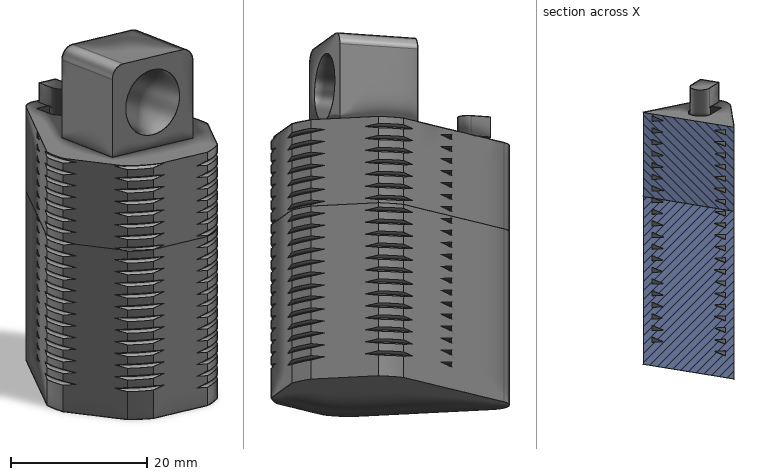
import cadquery as cq
import math

base_height = 26.0
cap_height = 13.0
body_top = base_height + cap_height
total_height = 53.0
lug_height = total_height - body_top

overall_width = 27.2
corner_radius = overall_width / 2
tail_reach = 22.2
hex_apothem = 12.6
side_angle = 60
tail_radius = 2 * hex_apothem - tail_reach
tail_center_x = tail_radius - tail_reach

lug_length = 12.0
lug_width = 15.0
lug_fillet = 2.0
lug_hole_diameter = 10.0
lug_hole_drop = 7.0

pin_diameter = 3.0
pin_radius = pin_diameter / 2
pin_x = -16.0
pin_rise = 4.0
bit_height = 3.0
bit_length = 3.0
slot_clearance = 0.25

groove_turns = 20
groove_start = 3.0
groove_pitch = (body_top - groove_start) / groove_turns
groove_root_radius = 13.0
groove_outer_radius = 13.7
groove_mouth = 0.75


def polar(radius, degrees):
    """Point at the given radius and angle around the Z axis."""
    angle = math.radians(degrees)
    return (radius * math.cos(angle), radius * math.sin(angle))


def tail_point(degrees):
    """Point on the rounded end of the tail."""
    x, y = polar(tail_radius, degrees)
    return (tail_center_x + x, y)


def outline(bottom, height):
    """Prism of the common outline, from the given height upward."""
    flat_half_angle = math.degrees(math.acos(hex_apothem / corner_radius))
    arc_half_angle = side_angle / 2 - flat_half_angle
    profile = cq.Workplane("XY", origin=(0, 0, bottom)).moveTo(*tail_point(-2 * side_angle))
    for corner in (-90, -30, 30, 90):
        arc_start = polar(corner_radius, corner - arc_half_angle)
        arc_middle = polar(corner_radius, corner)
        arc_end = polar(corner_radius, corner + arc_half_angle)
        profile = profile.lineTo(*arc_start).threePointArc(arc_middle, arc_end)
    profile = profile.lineTo(*tail_point(2 * side_angle))
    profile = profile.threePointArc(tail_point(180), tail_point(-2 * side_angle))
    return profile.close().extrude(height)


def groove_turn():
    """One turn of a helical triangle that points inward, starting on the +X side."""
    path = cq.Wire.makeHelix(groove_pitch, groove_pitch, groove_root_radius)
    return (
        cq.Workplane("XZ")
        .moveTo(groove_root_radius, 0)
        .lineTo(groove_outer_radius, groove_mouth / 2)
        .lineTo(groove_outer_radius, -groove_mouth / 2)
        .close()
        .sweep(cq.Workplane(path), isFrenet=True)
    )


def housing_part(bottom, height):
    """Grooved prism; it is cut by the turns that reach it, which join clear of the flat +X side."""
    cutter = groove_turn().val()
    turns = []
    for index in range(groove_turns):
        turn_start = groove_start + index * groove_pitch
        turn_bottom = turn_start - groove_mouth / 2
        turn_top = turn_start + groove_pitch + groove_mouth / 2
        if turn_top > bottom and turn_bottom < bottom + height:
            turns.append(cutter.translate(cq.Vector(0, 0, turn_start)))
    return cq.Workplane(outline(bottom, height).val().cut(*turns))


def latch_shape(bottom, height, offset=0.0):
    """Square bit reaching toward -X with its other end rounded about the pin axis."""
    radius = pin_radius + offset
    return (
        cq.Workplane("XY", origin=(pin_x, 0, bottom))
        .moveTo(-bit_length - offset, -radius)
        .lineTo(0, -radius)
        .threePointArc((radius, 0), (0, radius))
        .lineTo(-bit_length - offset, radius)
        .close()
        .extrude(height)
    )


def make_lug():
    """Block with two rounded top edges and a cross hole along X."""
    lug = (
        cq.Workplane("XY", origin=(0, 0, body_top))
        .rect(lug_length, lug_width)
        .extrude(lug_height)
        .edges("|X and >Z")
        .fillet(lug_fillet)
    )
    hole = (
        cq.Workplane("YZ", origin=(0, 0, total_height - lug_hole_drop))
        .circle(lug_hole_diameter / 2)
        .extrude(lug_length / 2, both=True)
    )
    return lug.cut(hole)


def make_base():
    """Lower part of the housing."""
    return housing_part(0, base_height)


def make_cap():
    """Upper part of the housing with its lug and the slot for the latch pin."""
    slot = latch_shape(base_height, cap_height, slot_clearance)
    return housing_part(base_height, cap_height).cut(slot).union(make_lug())


def make_latch_pin():
    """Round pin standing on the base, with the bit at its top."""
    pin_top = body_top + pin_rise
    shaft = (
        cq.Workplane("XY", origin=(pin_x, 0, base_height))
        .circle(pin_radius)
        .extrude(pin_top - base_height)
    )
    return shaft.union(latch_shape(pin_top - bit_height, bit_height))


base = make_base()
cap = make_cap()
latch_pin = make_latch_pin()

result = cq.Compound.makeCompound([base.solids().val(), cap.solids().val(), latch_pin.solids().val()])